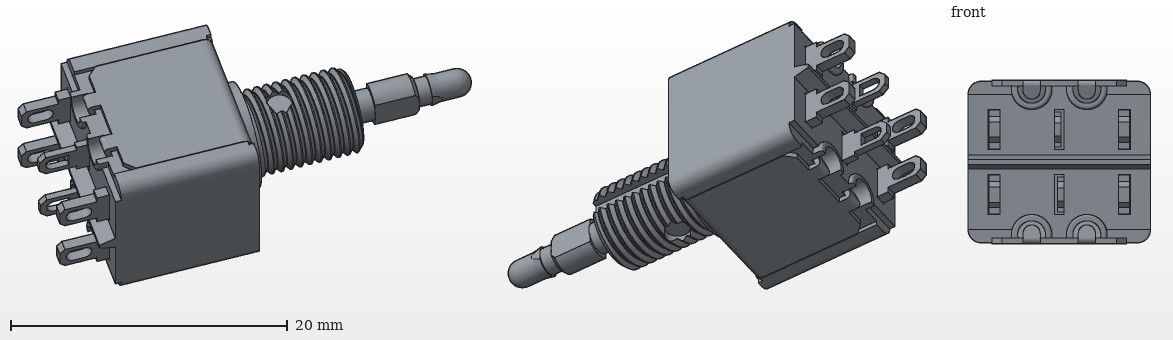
import cadquery as cq
import math


case_half_width = 6.6
case_half_height = 5.85
case_corner_radius = 0.98
case_side_length = 10.45
case_length = 10.92
rear_face_half_height = case_half_height - case_corner_radius

frame_half_width = 4.87
frame_half_height = 5.92
frame_thickness = 0.43
frame_bend_radius = 0.8
frame_leg_end = 9.55
frame_corner_chamfer = 0.72
frame_inner_half_height = frame_half_height - frame_thickness
relief_width = 0.33
relief_depth = 0.35

finger_spacing = 4.0
finger_half_width = 0.62
finger_tip_height = 5.17
finger_bend_radius = 0.33
finger_seat_depth = 10.05
finger_tilt = math.radians(18)
boss_center_height = 5.25
boss_radius = 1.47
boss_bore_radius = 1.0
boss_end = 11.25
boss_rim_radius = 0.2

barrier_end = 12.13
barrier_base_half_height = 0.52
barrier_tip_half_height = 0.15

row_height = 2.35
terminal_end = 14.65
shoulder_end = 11.85
tail_half_height = 0.95
eyelet_start = 12.23
eyelet_end = 14.15
eyelet_half_height = 0.55
opening_half_height = 1.45
opening_depth = 0.5
outer_column = 4.68
outer_thickness = 0.8
outer_shoulder_half_height = 1.4
outer_tail_chamfer = 0.4
outer_gap = 0.1
middle_thickness = 0.5
middle_shoulder_half_height = 1.28
middle_tail_chamfer = 0.5
middle_eyelet_start = 12.43
middle_opening_half_width = 0.35

flange_radius = 4.0
flange_length = 0.98
bushing_length = 9.1
thread_radius = 3.2
thread_root_radius = 2.88
thread_pitch = 0.72
thread_crest_width = 0.1
thread_root_width = 0.05
groove_flank_overrun = 0.015
groove_mouth_overrun = 0.2
groove_start_angle = 60
thread_start = 1.45
bushing_chamfer = 0.43
keyway_half_width = 0.62
keyway_floor = 2.35
keyway_flat_end = 2.75
keyway_runout_end = 0.13
dimple_height = 3.55
dimple_radius = 0.95
dimple_floor = 2.52

neck_radius = 1.2
rod_radius = 1.05
plunger_tip = 18.05
barb_top = 15.53
barb_bottom = 14.8
barb_radius = 1.18
grip_top = 13.83
grip_bottom = 10.45
grip_radius = 1.55
grip_chamfer = 0.3


def centered(half_size):
    """Limits that lie evenly about zero."""
    return (-half_size, half_size)


def block(x_range, y_range, z_range):
    """Box between the two limits given for each axis."""
    sizes = [limits[1] - limits[0] for limits in (x_range, y_range, z_range)]
    corner = (x_range[0], y_range[0], z_range[0])
    return cq.Workplane("XY").box(*sizes, centered=False).translate(corner)


def rod(radius, y_low, y_high, x=0, z=0):
    """Cylinder along Y."""
    base_center = cq.Vector(x, y_low, z)
    along_y = cq.Vector(0, 1, 0)
    return cq.Workplane(cq.Solid.makeCylinder(radius, y_high - y_low, base_center, along_y))


def side_profile(points, x_low, x_high):
    """Polygon of (y, z) points extruded from x_low to x_high."""
    return cq.Workplane("YZ").workplane(offset=x_low).polyline(points).close().extrude(x_high - x_low)


def above_and_below(upper):
    """The given upper shape together with its mirror image below the mid plane."""
    return upper.union(upper.mirror("XY"))


finger_columns = centered(finger_spacing / 2)


def case_shell():
    bands = (
        block(centered(case_half_width), (-case_side_length, 0), centered(case_half_height))
        .edges("|Y")
        .fillet(case_corner_radius)
    )
    core = block(centered(case_half_width), (-case_length, 0), centered(rear_face_half_height))
    return bands.union(core)


def rear_bosses():
    """Round-rimmed bosses for the fingers, with the web that fills the space between them."""
    web = block(finger_columns, (-case_length, -case_side_length), (0, frame_inner_half_height))
    for x in finger_columns:
        boss = rod(boss_radius, -boss_end, -case_side_length, x, boss_center_height)
        web = web.union(boss.faces("<Y").edges().fillet(boss_rim_radius))
    below_legs = block(centered(case_half_width), (-boss_end, 0), (0, frame_inner_half_height))
    return above_and_below(web.intersect(below_legs))


def seat_y(z, offset=0.0):
    """Y of the inclined finger seat at height z, moved outwards by an offset square to it."""
    slope_depth = (z - frame_inner_half_height) * math.tan(finger_tilt)
    return -finger_seat_depth - slope_depth - offset / math.cos(finger_tilt)


def finger_bores():
    low = boss_center_height - boss_bore_radius
    high = boss_center_height + boss_bore_radius
    bores = cq.Workplane()
    for x in finger_columns:
        bore = rod(boss_bore_radius, -boss_end, -frame_leg_end, x, boss_center_height)
        behind_seat = side_profile(
            [(seat_y(low), low), (seat_y(high), high), (-boss_end, high), (-boss_end, low)],
            x - boss_bore_radius,
            x + boss_bore_radius,
        )
        bores = bores.add(bore.intersect(behind_seat))
    return above_and_below(bores.combine())


def frame_recess():
    """Everything outside the core that the frame wraps, across the frame width."""
    around = block(centered(frame_half_width), (-boss_end, 0), centered(frame_half_height))
    return around.cut(frame_core(boss_end))


def frame_core(depth):
    """Rounded block enclosed by the frame, from its front wall back to the given depth."""
    core = block(
        centered(frame_half_width),
        (-depth, -frame_thickness),
        centered(frame_inner_half_height),
    )
    return core.faces(">Y").edges("|X").fillet(frame_bend_radius - frame_thickness)


def relief_notches():
    notch = block(
        (frame_half_width, frame_half_width + relief_width),
        (-relief_depth, 0),
        (frame_inner_half_height, frame_half_height),
    )
    return above_and_below(notch.union(notch.mirror("YZ")))


def rear_barrier():
    outline = [
        (-case_length, -barrier_base_half_height),
        (-case_length, barrier_base_half_height),
        (-barrier_end, barrier_tip_half_height),
        (-barrier_end, -barrier_tip_half_height),
    ]
    return side_profile(outline, -case_half_width, case_half_width)


outer_x_low = outer_column - outer_thickness / 2


def terminal(x_low, thickness, shoulder_half_height, tail_chamfer, eyelet):
    """Solder lug standing in the bottom of its opening."""
    x_range = (x_low, x_low + thickness)
    root = opening_depth - case_length
    shoulder = block(x_range, (-shoulder_end, root), centered(shoulder_half_height))
    tail = block(x_range, (-terminal_end, root), centered(tail_half_height))
    tail = tail.faces("<Y").edges("|X").chamfer(tail_chamfer)
    return shoulder.union(tail).cut(eyelet)


def eyelet_cut(rounded_front):
    """Slot across the lug, round at the tip end and either round or square at the case end."""
    center = -(eyelet_end + eyelet_start) / 2
    slot = (
        cq.Workplane("YZ")
        .center(center, 0)
        .slot2D(eyelet_end - eyelet_start, 2 * eyelet_half_height)
        .extrude(case_half_width, both=True)
    )
    if rounded_front:
        return slot
    x_range = centered(case_half_width)
    z_range = centered(eyelet_half_height)
    square_end = block(x_range, (center, -middle_eyelet_start), z_range)
    rear_half = block(x_range, (-eyelet_end, center), z_range)
    return slot.intersect(rear_half).union(square_end)


def terminal_opening(x_low, x_high):
    y_range = (-case_length, opening_depth - case_length)
    return block((x_low, x_high), y_range, centered(opening_half_height))


def row_terminals(middle_x_low):
    right = terminal(
        outer_x_low, outer_thickness, outer_shoulder_half_height, outer_tail_chamfer, eyelet_cut(True)
    )
    middle = terminal(
        middle_x_low, middle_thickness, middle_shoulder_half_height, middle_tail_chamfer, eyelet_cut(False)
    )
    return [right, right.mirror("YZ"), middle]


def row_openings():
    right = terminal_opening(outer_x_low, outer_x_low + outer_thickness + outer_gap)
    middle = terminal_opening(-middle_opening_half_width, middle_opening_half_width)
    return [right, right.mirror("YZ"), middle]


def make_case():
    case = case_shell().union(rear_bosses())
    case = case.cut(frame_recess()).cut(finger_bores()).cut(relief_notches())
    case = case.union(rear_barrier())
    rows = (
        (row_height, -middle_opening_half_width),
        (-row_height, middle_opening_half_width - middle_thickness),
    )
    for z, middle_x_low in rows:
        for opening in row_openings():
            case = case.cut(opening.translate((0, 0, z)))
        for lug in row_terminals(middle_x_low):
            case = case.union(lug.translate((0, 0, z)))
    return case


def frame_plate():
    plate = (
        block(centered(frame_half_width), (-frame_leg_end, 0), centered(frame_half_height))
        .faces(">Y")
        .edges("|X")
        .fillet(frame_bend_radius)
        .faces("<Y")
        .edges("|Z")
        .chamfer(frame_corner_chamfer)
    )
    return plate.cut(frame_core(frame_leg_end))


def finger():
    """Strip that continues a leg, then folds down onto the inclined seat to a rounded tip."""
    low = finger_tip_height - finger_half_width
    outline = [
        (-frame_leg_end, frame_half_height),
        (seat_y(frame_half_height, frame_thickness), frame_half_height),
        (seat_y(low, frame_thickness), low),
        (seat_y(low), low),
        (seat_y(frame_inner_half_height), frame_inner_half_height),
        (-frame_leg_end, frame_inner_half_height),
    ]
    strip = side_profile(outline, -finger_half_width, finger_half_width)
    bend_point = (0, outline[1][0], frame_half_height)
    strip = strip.edges(cq.selectors.NearestToPointSelector(bend_point)).fillet(finger_bend_radius)
    x_range = centered(finger_half_width)
    y_range = (-boss_end, -frame_leg_end)
    tip_outline = block(x_range, y_range, (finger_tip_height, frame_half_height))
    tip_outline = tip_outline.union(rod(finger_half_width, *y_range, z=finger_tip_height))
    return strip.intersect(tip_outline)


def thread_groove():
    """Right-handed V groove around Z, rising from thread_start; its mouth is wide of the barrel."""
    root_half = thread_root_width / 2
    crest_half = (thread_pitch - thread_crest_width) / 2
    flank_slope = (crest_half - root_half) / (thread_radius - thread_root_radius)
    knee_radius = thread_radius + groove_flank_overrun
    knee_half = crest_half + groove_flank_overrun * flank_slope
    mouth_radius = thread_radius + groove_mouth_overrun
    groove_length = bushing_length + thread_pitch - thread_start
    path = cq.Wire.makeHelix(thread_pitch, groove_length, thread_root_radius)
    section = (
        cq.Workplane("XZ")
        .moveTo(thread_root_radius, -root_half)
        .lineTo(knee_radius, -knee_half)
        .lineTo(mouth_radius, -knee_half)
        .lineTo(mouth_radius, knee_half)
        .lineTo(knee_radius, knee_half)
        .lineTo(thread_root_radius, root_half)
        .close()
    )
    return section.sweep(cq.Workplane(path), isFrenet=True).translate((0, 0, thread_start))


def threaded_barrel():
    """Barrel around Y whose groove starts at -X, inside the keyway."""
    barrel = cq.Workplane("XY").circle(thread_radius).extrude(bushing_length)
    barrel = barrel.faces(">Z").edges().chamfer(bushing_chamfer)
    barrel = barrel.cut(thread_groove().rotate((0, 0, 0), (0, 0, 1), groove_start_angle))
    barrel = barrel.rotate((0, 0, 0), (0, 0, 1), 180 - groove_start_angle)
    return barrel.rotate((0, 0, 0), (1, 0, 0), -90)


def keyway():
    """Flat-floored slot on the -X side whose floor curves out to the flange rim."""
    rise = flange_radius - keyway_floor
    run = keyway_flat_end - keyway_runout_end
    runout_radius = (run**2 + rise**2) / (2 * rise)
    mid_angle = math.asin(run / runout_radius) / 2
    mid_x = -keyway_floor - runout_radius * (1 - math.cos(mid_angle))
    mid_y = keyway_flat_end - runout_radius * math.sin(mid_angle)
    return (
        cq.Workplane("XY")
        .moveTo(-keyway_floor, bushing_length)
        .lineTo(-keyway_floor, keyway_flat_end)
        .threePointArc((mid_x, mid_y), (-flange_radius, keyway_runout_end))
        .lineTo(-flange_radius, bushing_length)
        .close()
        .extrude(keyway_half_width, both=True)
    )


def dimples():
    """Flat-bottomed round recesses above and below the bushing axis."""
    upper = (
        cq.Workplane("XY")
        .workplane(offset=dimple_floor)
        .center(0, dimple_height)
        .circle(dimple_radius)
        .extrude(thread_radius - dimple_floor)
    )
    return above_and_below(upper)


def bushing():
    return threaded_barrel().union(rod(flange_radius, 0, flange_length)).cut(keyway()).cut(dimples())


def make_frame():
    frame = frame_plate()
    for x in finger_columns:
        frame = frame.union(above_and_below(finger()).translate((x, 0, 0)))
    return frame.union(bushing()).cut(rod(neck_radius, -frame_thickness, bushing_length))


def make_plunger():
    """Turned rod with a domed tip, snap barb, two-flat grip and plain neck."""
    dome_side = rod_radius * math.sqrt(0.5)
    dome_base = plunger_tip - rod_radius
    turned = (
        cq.Workplane("XY")
        .moveTo(0, -frame_thickness)
        .lineTo(neck_radius, -frame_thickness)
        .lineTo(neck_radius, grip_bottom)
        .lineTo(grip_radius, grip_bottom)
        .lineTo(grip_radius, grip_top - grip_chamfer)
        .lineTo(grip_radius - grip_chamfer, grip_top)
        .lineTo(rod_radius, grip_top)
        .lineTo(rod_radius, barb_bottom)
        .lineTo(barb_radius, barb_bottom)
        .lineTo(rod_radius, barb_top)
        .lineTo(rod_radius, dome_base)
        .threePointArc((dome_side, dome_base + dome_side), (0, plunger_tip))
        .close()
        .revolve(360, (0, 0, 0), (0, 1, 0))
    )
    flat = block((rod_radius, grip_radius), (grip_bottom, barb_top), centered(grip_radius))
    return turned.cut(flat).cut(flat.mirror("YZ"))


case = make_case()
frame = make_frame()
plunger = make_plunger()
result = cq.Compound.makeCompound([case.val(), frame.val(), plunger.val()])